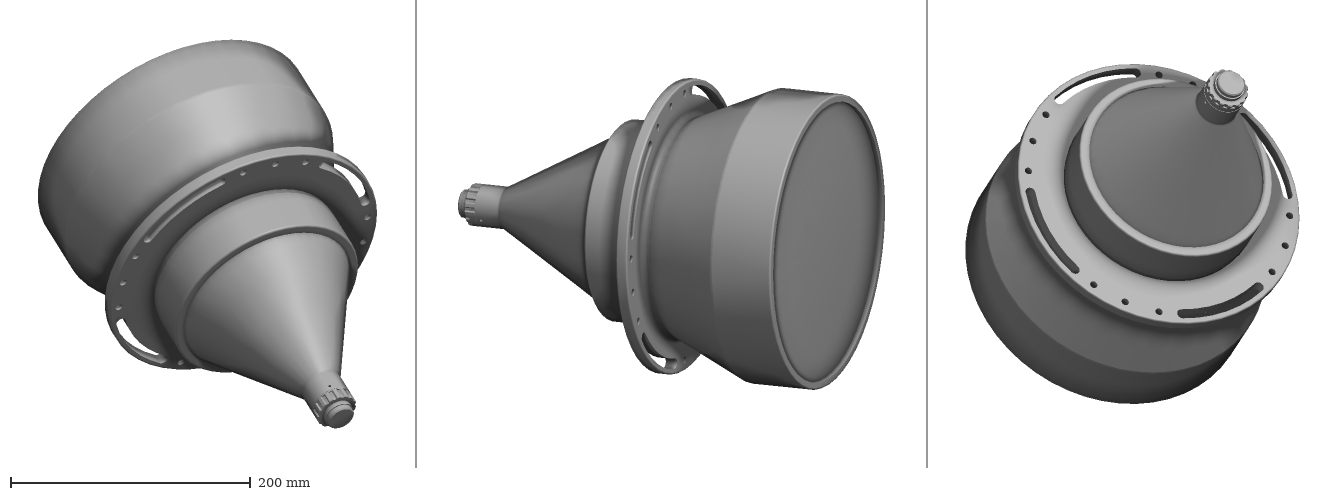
import cadquery as cq
import math

barrel_radius = 124.07
barrel_end = 54.0
front_edge_fillet = 1.5

neck_start = 123.5
neck_radius = 93.2
blend_radius = 5.0

flange_front = 130.0
flange_thickness = 10.2
flange_rear = flange_front + flange_thickness
flange_radius = barrel_radius
flange_edge_fillet = 1.5
bolt_circle_radius = 115.0
bolt_hole_diameter = 6.3
bolt_hole_spacing = 15.0
bolt_holes_per_group = 3
slot_width = 8.5
slot_center_angle = 30.0
slot_half_angle = 19.8
flange_sectors = 4
sector_angle = 360.0 / flange_sectors

undercut_radius = 84.0
collar_start = 145.5
collar_end = 185.5
collar_radius = 85.0
collar_edge_fillet = 2.0

rear_cone_radius = 76.5
tube_start = 290.8
tube_radius = 18.0
tube_blend_radius = 2.5
relief_start = 311.5
relief_width = 1.0
relief_depth = 0.3
ring_start = relief_start + relief_width
ring_end = 321.8
ring_chamfer = 0.5

shoulder_end = 325.8
shoulder_radius = 13.0
thread_radius = 12.0
thread_chamfer = 1.0
lens_length = 330.5

groove_pitch_angle = 24.0
groove_count = round(360 / groove_pitch_angle)
groove_mouth_width = 4.5
groove_floor_width = 2.3
groove_depth = 1.3
long_groove_length = ring_end - ring_start
short_groove_length = 4.0

set_screw_station = 307.5
set_screw_diameter = 2.3
set_screw_depth = 3.3
set_screw_angles = (90.0, 210.0, 330.0)

glass_radius = 118.0
glass_edge_depth = 4.0
glass_sag = 3.3
glass_edge_thickness = 6.5
seat_depth = glass_edge_depth + glass_edge_thickness


def revolve_about_axis(profile):
    """Revolve a closed (axial, radial) profile a full turn about the X axis."""
    return profile.close().revolve(360, (0, 0, 0), (1, 0, 0))


selection_reach = 0.03


def circle_edges_at(station, radius):
    """Select the circular edge of a given radius at a given axial station."""
    reach = selection_reach
    return cq.selectors.BoxSelector(
        (station - reach, -radius - reach, -radius - reach),
        (station + reach, radius + reach, radius + reach),
        boundingbox=True,
    ) - cq.selectors.BoxSelector(
        (station - reach, -radius + reach, -radius + reach),
        (station + reach, radius - reach, radius - reach),
        boundingbox=True,
    )


def make_turned_shape():
    """Revolve the stepped outline and soften its edges."""
    profile = cq.Workplane("XY").polyline([
        (0, 0),
        (0, barrel_radius),
        (barrel_end, barrel_radius),
        (neck_start, neck_radius),
        (flange_front, neck_radius),
        (flange_front, flange_radius),
        (flange_rear, flange_radius),
        (flange_rear, undercut_radius),
        (collar_start, undercut_radius),
        (collar_start, collar_radius),
        (collar_end, collar_radius),
        (collar_end, rear_cone_radius),
        (tube_start, tube_radius),
        (relief_start, tube_radius),
        (relief_start, tube_radius - relief_depth),
        (ring_start, tube_radius - relief_depth),
        (ring_start, tube_radius),
        (ring_end, tube_radius),
        (ring_end, shoulder_radius),
        (shoulder_end, shoulder_radius),
        (shoulder_end, thread_radius),
        (lens_length, thread_radius),
        (lens_length, 0),
    ])
    shape = revolve_about_axis(profile)
    fillets = [
        (0, barrel_radius, front_edge_fillet),
        (barrel_end, barrel_radius, blend_radius),
        (neck_start, neck_radius, blend_radius),
        (flange_front, neck_radius, blend_radius),
        (flange_front, flange_radius, flange_edge_fillet),
        (flange_rear, flange_radius, flange_edge_fillet),
        (collar_end, collar_radius, collar_edge_fillet),
        (tube_start, tube_radius, tube_blend_radius),
    ]
    for station, radius, fillet_radius in fillets:
        shape = shape.edges(circle_edges_at(station, radius)).fillet(fillet_radius)
    shape = shape.edges(circle_edges_at(ring_end, tube_radius)).chamfer(ring_chamfer)
    return shape.edges(circle_edges_at(lens_length, thread_radius)).chamfer(thread_chamfer)


def on_circle(radius, angle):
    """Point on a circle around the axis; the angle runs from +Y toward +Z."""
    turn = math.radians(angle)
    return (radius * math.cos(turn), radius * math.sin(turn))


def make_flange_slot(center_angle):
    """Arc-shaped slot with round ends, cutting through the flange."""
    outer_radius = bolt_circle_radius + slot_width / 2
    inner_radius = bolt_circle_radius - slot_width / 2
    start = center_angle - slot_half_angle
    end = center_angle + slot_half_angle
    tip_angle = math.degrees(slot_width / 2 / bolt_circle_radius)
    return (
        cq.Workplane("YZ", origin=(flange_front, 0, 0))
        .moveTo(*on_circle(inner_radius, start))
        .threePointArc(on_circle(inner_radius, center_angle), on_circle(inner_radius, end))
        .threePointArc(on_circle(bolt_circle_radius, end + tip_angle), on_circle(outer_radius, end))
        .threePointArc(on_circle(outer_radius, center_angle), on_circle(outer_radius, start))
        .threePointArc(on_circle(bolt_circle_radius, start - tip_angle), on_circle(inner_radius, start))
        .close()
        .extrude(flange_thickness)
    )


def make_flange_cutters():
    """One slot and one group of bolt holes for each sector of the flange."""
    cutters = []
    hole_points = []
    for sector in range(flange_sectors):
        turn = sector * sector_angle
        cutters.append(make_flange_slot(slot_center_angle + turn))
        for hole in range(bolt_holes_per_group):
            hole_angle = turn - hole * bolt_hole_spacing
            hole_points.append(on_circle(bolt_circle_radius, hole_angle))
    bolt_holes = (
        cq.Workplane("YZ", origin=(flange_front, 0, 0))
        .pushPoints(hole_points)
        .circle(bolt_hole_diameter / 2)
        .extrude(flange_thickness)
    )
    cutters.append(bolt_holes)
    return cutters


def make_grip_groove(angle):
    """Tapered groove open to the rear of the ring: long on the +Z half, short below."""
    on_upper_half = 0 <= angle <= 180
    length = long_groove_length if on_upper_half else short_groove_length
    floor_radius = tube_radius - groove_depth
    top_radius = tube_radius + groove_depth
    half_floor = groove_floor_width / 2
    half_top = groove_mouth_width - half_floor
    groove = (
        cq.Workplane("YZ", origin=(ring_end - length, 0, 0))
        .polyline([
            (floor_radius, -half_floor),
            (top_radius, -half_top),
            (top_radius, half_top),
            (floor_radius, half_floor),
        ])
        .close()
        .extrude(length)
    )
    return groove.rotate((0, 0, 0), (1, 0, 0), angle)


def make_set_screw_hole(angle):
    """Blind radial hole in the tube."""
    hole = (
        cq.Workplane("XZ", origin=(set_screw_station, tube_radius, 0))
        .circle(set_screw_diameter / 2)
        .extrude(set_screw_depth)
    )
    return hole.rotate((0, 0, 0), (1, 0, 0), angle)


def make_housing():
    """Complete lens housing with the seat for the front glass."""
    housing = make_turned_shape()
    seat = cq.Workplane("YZ").circle(glass_radius).extrude(seat_depth)
    housing = housing.cut(seat)
    for cutter in make_flange_cutters():
        housing = housing.cut(cutter)
    for index in range(groove_count):
        housing = housing.cut(make_grip_groove(index * groove_pitch_angle))
    for angle in set_screw_angles:
        housing = housing.cut(make_set_screw_hole(angle))
    return housing


def make_front_glass():
    """Plano-convex front element; its domed face looks toward -X."""
    sphere_radius = (glass_radius**2 + glass_sag**2) / (2 * glass_sag)
    apex = glass_edge_depth - glass_sag
    mid_radius = glass_radius / 2
    mid_station = apex + sphere_radius - math.sqrt(sphere_radius**2 - mid_radius**2)
    profile = (
        cq.Workplane("XY")
        .moveTo(apex, 0)
        .threePointArc((mid_station, mid_radius), (glass_edge_depth, glass_radius))
        .lineTo(seat_depth, glass_radius)
        .lineTo(seat_depth, 0)
    )
    return revolve_about_axis(profile)


housing = make_housing()
front_glass = make_front_glass()

result = cq.Compound.makeCompound([housing.val(), front_glass.val()])